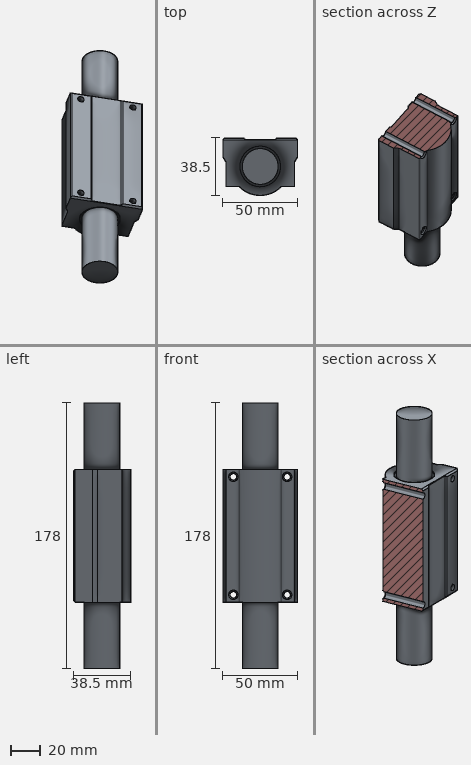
import cadquery as cq
import math

SHAFT_DIAMETER = 24.0
SHAFT_LENGTH = 178.0

BLOCK_LENGTH = 89.0
FLANGE_WIDTH = 50.0
BODY_WIDTH = 46.0
BACK_Y = 19.0
FLANGE_FRONT_Y = 6.3
BODY_SHOULDER_Y = 3.0
FRONT_Y = -13.5
FRONT_ARC_RADIUS = 19.5
FRONT_FILLET = 0.5

RECESS_DIAMETER = 27.2
RECESS_DEPTH = 1.0

BACK_SIDE_BEVEL = 1.0
BACK_END_BEVEL = 1.2
GROOVE_DEPTH = 0.9
GROOVE_FLOOR_WIDTH = 20.2
GROOVE_TOP_WIDTH = 22.0

HOLE_DIAMETER = 4.3
COUNTERSINK_DIAMETER = 6.3
COUNTERSINK_ANGLE = 90.0
HOLE_PITCH_X = 36.0
HOLE_PITCH_Z = 79.0


def make_block():
    """Extrude the stepped outline with its round front bulge."""
    flange_x = FLANGE_WIDTH / 2
    body_x = BODY_WIDTH / 2
    arc_x = math.sqrt(FRONT_ARC_RADIUS**2 - FRONT_Y**2)
    block = (
        cq.Workplane("XY")
        .workplane(offset=-BLOCK_LENGTH / 2)
        .moveTo(flange_x, BACK_Y)
        .lineTo(flange_x, FLANGE_FRONT_Y)
        .lineTo(body_x, BODY_SHOULDER_Y)
        .lineTo(body_x, FRONT_Y)
        .lineTo(arc_x, FRONT_Y)
        .threePointArc((0, -FRONT_ARC_RADIUS), (-arc_x, FRONT_Y))
        .lineTo(-body_x, FRONT_Y)
        .lineTo(-body_x, BODY_SHOULDER_Y)
        .lineTo(-flange_x, FLANGE_FRONT_Y)
        .lineTo(-flange_x, BACK_Y)
        .close()
        .extrude(BLOCK_LENGTH)
    )
    front_edges = cq.selectors.BoxSelector(
        (-flange_x, FRONT_Y - FRONT_FILLET, -BLOCK_LENGTH),
        (flange_x, FRONT_Y + FRONT_FILLET, BLOCK_LENGTH),
    )
    return block.edges("|Z").edges(front_edges).fillet(FRONT_FILLET)


def make_back_groove():
    """Cutter for the groove with sloping walls along the middle of the back face."""
    top_x = GROOVE_TOP_WIDTH / 2
    floor_x = GROOVE_FLOOR_WIDTH / 2
    floor_y = BACK_Y - GROOVE_DEPTH
    outline = [(-top_x, BACK_Y), (-floor_x, floor_y), (floor_x, floor_y), (top_x, BACK_Y)]
    return cq.Workplane("XY").polyline(outline).close().extrude(BLOCK_LENGTH / 2, both=True)


def make_end_recesses():
    """Discs that sink both block ends around the shaft."""
    discs = cq.Workplane("XY").circle(RECESS_DIAMETER / 2).extrude(BLOCK_LENGTH / 2, both=True)
    core_length = BLOCK_LENGTH / 2 - RECESS_DEPTH
    core = cq.Workplane("XY").circle(RECESS_DIAMETER / 2).extrude(core_length, both=True)
    return discs.cut(core)


def drill_mounting_holes(body):
    """Drill the four countersunk holes from the front face through to the back."""
    return (
        cq.Workplane("XZ", origin=(0, FRONT_Y, 0))
        .add(body)
        .rarray(HOLE_PITCH_X, HOLE_PITCH_Z, 2, 2)
        .cskHole(HOLE_DIAMETER, COUNTERSINK_DIAMETER, COUNTERSINK_ANGLE)
    )


block = make_block()
block = block.faces(">Y").edges("|Z").chamfer(BACK_SIDE_BEVEL)
block = block.faces(">Y").edges("|X").chamfer(BACK_END_BEVEL)
block = block.cut(make_back_groove())
block = drill_mounting_holes(block)
block = block.cut(make_end_recesses())
shaft = cq.Workplane("XY").circle(SHAFT_DIAMETER / 2).extrude(SHAFT_LENGTH / 2, both=True)

result = block.union(shaft)